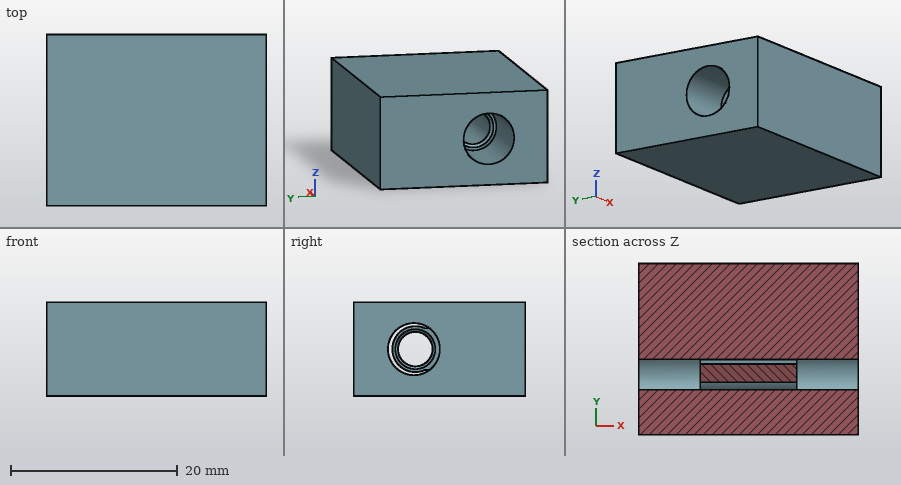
import cadquery as cq

length = 26.4
depth = 20.6
height = 11.3

bore_radius = 3.12
bore_from_front = 7.23
bore_y = bore_from_front - depth / 2

terminal_length = 11.62
tube_offset = 0.15
tube_y = bore_y + tube_offset
tube_radius = 2.77
tube_bore_radius = 2.05
countersink = 0.35

foot_width = 5.07
foot_grip = 1.05
foot_end_y = bore_y + bore_radius + foot_grip


def rod_along_x(radius, rod_length, centre_y):
    """Round bar along X, centred on X = 0 and Z = 0."""
    plane = cq.Workplane("YZ", origin=(-rod_length / 2, 0, 0))
    return plane.center(centre_y, 0).circle(radius).extrude(rod_length)


def make_foot():
    """Rectangular bar from the tube axis to the bottom of the housing pocket."""
    foot_depth = foot_end_y - tube_y
    foot = cq.Workplane("XY").box(terminal_length, foot_depth, foot_width)
    return foot.translate((0, tube_y + foot_depth / 2, 0))


def make_housing():
    """Box with the wire passage and the pocket that holds the terminal foot."""
    block = cq.Workplane("XY").box(length, depth, height)
    passage = rod_along_x(bore_radius, length, bore_y)
    return block.cut(passage).cut(make_foot())


def make_terminal():
    """Tube and foot, with the tube hole countersunk at both ends."""
    tube = rod_along_x(tube_radius, terminal_length, tube_y)
    body = tube.union(make_foot())
    hole = rod_along_x(tube_bore_radius, terminal_length, tube_y)
    reach = tube_bore_radius + countersink / 2
    hole_zone = cq.selectors.BoxSelector(
        (-terminal_length, tube_y - reach, -reach),
        (terminal_length, tube_y + reach, reach),
        boundingbox=True,
    )
    return body.cut(hole).edges("%CIRCLE").edges(hole_zone).chamfer(countersink)


housing = make_housing()
terminal = make_terminal()

result = cq.Compound.makeCompound([housing.val(), terminal.val()])